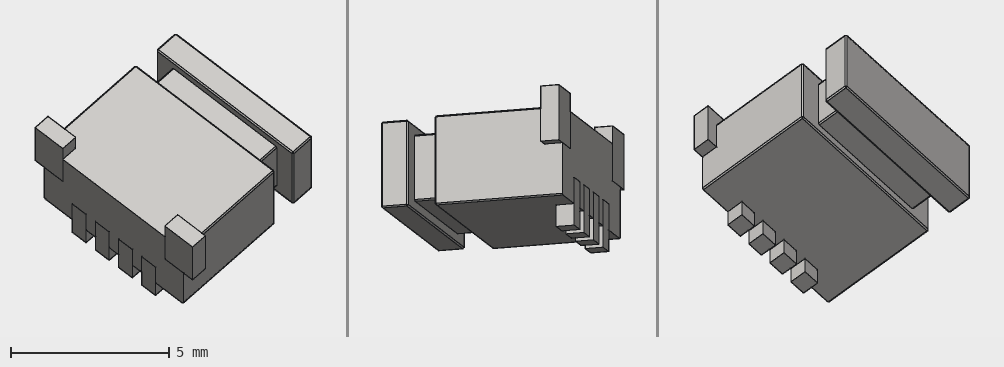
import cadquery as cq

overall_width = 6.8
overall_depth = 6.05
overall_height = 4.2

housing_width = 6.01
housing_depth = 4.25
housing_height = 2.91
housing_bottom = 0.7
housing_middle = housing_bottom + housing_height / 2
edge_chamfer = 0.05

cap_width = 5.91
cap_depth = 0.9
cap_height = 2.8
stem_width = 4.5
stem_height = 2.16
stem_depth = overall_depth - housing_depth - cap_depth

insert_depth = 0.6
tab_width = 1.2
tab_height = 1.8
lead_width = 0.6
lead_height = 1.56
lead_pitch = 1.0
lead_count = 4


def block(width, depth, height, center_x, front_y, bottom_z):
    """Plain box centred on center_x, with its front face and bottom at the given places."""
    return (
        cq.Workplane("XY")
        .box(width, depth, height, centered=(True, False, False))
        .translate((center_x, front_y, bottom_z))
    )


def make_tab(center_x):
    return block(tab_width, insert_depth, tab_height, center_x, 0, overall_height - tab_height)


def make_lead(center_x):
    return block(lead_width, insert_depth, lead_height, center_x, 0, 0)


def make_housing(inserts):
    """Chamfered block with a sharp front face and a matching notch for every insert."""
    housing = block(housing_width, housing_depth, housing_height, 0, 0, housing_bottom)
    housing = housing.edges("|Y or >Y").chamfer(edge_chamfer)
    for insert in inserts:
        housing = housing.cut(insert)
    return housing


def make_plunger():
    """Stem with chamfered long edges, joined to a cap chamfered on all edges."""
    stem_bottom = housing_middle - stem_height / 2
    stem = block(stem_width, stem_depth, stem_height, 0, housing_depth, stem_bottom)
    stem = stem.edges("|Y").chamfer(edge_chamfer)

    cap_front = housing_depth + stem_depth
    cap_bottom = housing_middle - cap_height / 2
    cap = block(cap_width, cap_depth, cap_height, 0, cap_front, cap_bottom)
    cap = cap.edges().chamfer(edge_chamfer)
    return stem.union(cap)


tab_offset = (overall_width - tab_width) / 2
tabs = [make_tab(side * tab_offset) for side in (-1, 1)]

first_lead_x = -lead_pitch * (lead_count - 1) / 2
leads = [make_lead(first_lead_x + i * lead_pitch) for i in range(lead_count)]

inserts = tabs + leads
housing = make_housing(inserts)
plunger = make_plunger()

result = cq.Compound.makeCompound(
    [housing.val(), plunger.val(), *[insert.val() for insert in inserts]]
)